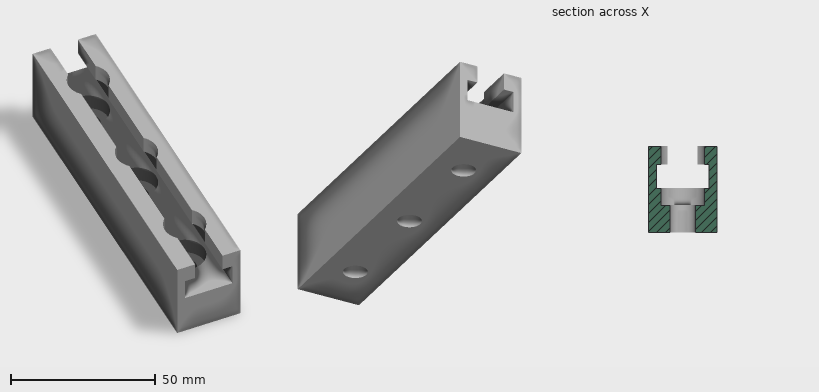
import cadquery as cq

length = 120.0
width = 24.0
height = 30.0

mouth_width = 10.5
channel_width = 18.0
lip_thickness = 6.5
channel_height = 8.0
floor_height = height - lip_thickness - channel_height

hole_count = 3
hole_pitch = length / hole_count
hole_diameter = 8.6
counterbore_diameter = 15.0
counterbore_depth = 6.0


def upright_cylinder(x, diameter, bottom):
    """Cutter on the centre line, from the bottom level up to the block top."""
    return (
        cq.Workplane("XY", origin=(x, 0, bottom))
        .circle(diameter / 2)
        .extrude(height - bottom)
    )


def slot_cutter(slot_width, bottom, top):
    """Full-length rectangular cutter between two levels."""
    return (
        cq.Workplane("XY", origin=(0, 0, bottom))
        .rect(length, slot_width)
        .extrude(top - bottom)
    )


block = cq.Workplane("XY").rect(length, width).extrude(height)

result = block.cut(slot_cutter(channel_width, floor_height, height - lip_thickness))
result = result.cut(slot_cutter(mouth_width, floor_height, height))

for index in range(hole_count):
    hole_x = (index - (hole_count - 1) / 2) * hole_pitch
    result = result.cut(upright_cylinder(hole_x, hole_diameter, 0))
    result = result.cut(
        upright_cylinder(hole_x, counterbore_diameter, floor_height - counterbore_depth)
    )